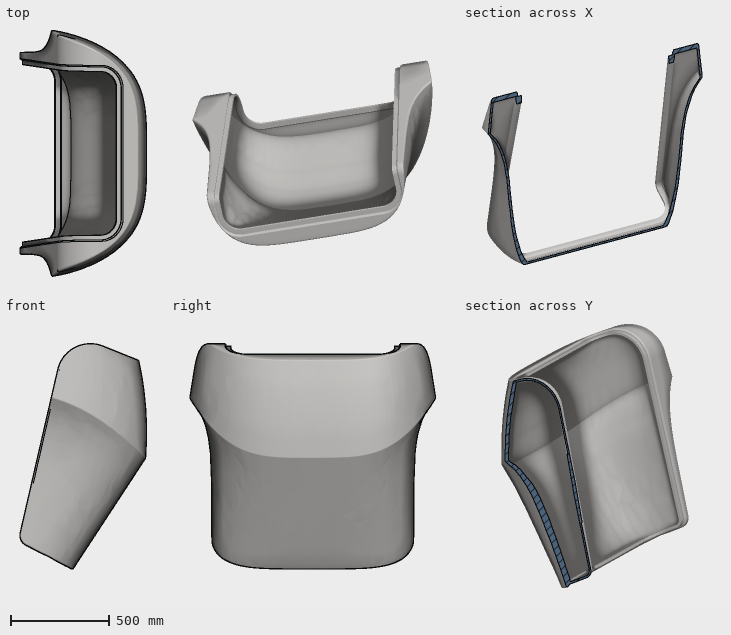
import cadquery as cq
import math

FRONT_FOOT_X = -41.0
FRONT_LEAN = 0.23
TOP_POINT = (433.0, 1129.0)
TOP_SLOPE = -0.4
BOTTOM_POINT = (32.0, 121.0)
BOTTOM_SLOPE = -0.52
TOP_RADIUS = 171.0
BOTTOM_RADIUS = 57.0
PROFILE_BACK_X = 749.0
PROFILE_HALF_WIDTH = 749.0

WALL = 15.0
FLANGE = 12.0
STEP = 12.0
LIP_WIDTH = 24.0
STEP_CHAMFER = 7.0
RIM_ROUND = 9.0

CREASE_POWERS = (3.7, 1.5)
SLIM_POWERS = (5.0, 2.2)
BOTTOM_POWERS = (4.6, 2.3)
ROWS = 10
COLUMNS = 36

CREASE_START = (162.0, 871.0)
CREASE_SLOPE = -0.28
CREASE_BEND = -0.0007614
CREASE_BACK_X = 639.0
CREASE_HALF_WIDTH = 629.0

UPPER_BULGE = 41.0
UPPER_RETURN = 82.0
UPPER_NARROWING = 0.09

LOWER_HALF_WIDTH = 514.0
BOTTOM_BACK_X = 256.0
FLARE_POWER = 6

OVERHANG = 37.0
END_MARGIN = 25.0

OPENING_TOP = (495.0, 1103.0)
OPENING_BOTTOM = (175.0, 52.0)
OPENING_HALF_WIDTH_TOP = 415.0
OPENING_HALF_WIDTH_BOTTOM = 453.0
OPENING_RADIUS = 87.0
OPENING_DEPTH = 749.0
OPENING_EXTENSION = 150.0

ON_SURFACE = 0.1


def mix(start, end, share):
    return start + (end - start) * share


def front_x(z):
    return FRONT_FOOT_X + FRONT_LEAN * z


def top_z(x):
    return TOP_POINT[1] + TOP_SLOPE * (x - TOP_POINT[0])


def bottom_z(x):
    return BOTTOM_POINT[1] + BOTTOM_SLOPE * (x - BOTTOM_POINT[0])


def crease_z(x):
    run = x - CREASE_START[0]
    return CREASE_START[1] + CREASE_SLOPE * run + CREASE_BEND * run**2


def front_corner(point, slope, lift=0.0, overhang=0.0):
    """Where a lifted end line meets the front line, itself moved forward by the overhang."""
    height_at_origin = point[1] - slope * point[0] + lift
    foot_x = FRONT_FOOT_X - overhang
    z = (height_at_origin + slope * foot_x) / (1 - slope * FRONT_LEAN)
    return front_x(z) - overhang, z


def profile(inset=0.0):
    """Side profile extruded across the whole width, with its outline moved inwards."""
    bottom_corner = front_corner(BOTTOM_POINT, BOTTOM_SLOPE)
    top_corner = front_corner(TOP_POINT, TOP_SLOPE)
    body = (
        cq.Workplane("XZ")
        .moveTo(*bottom_corner)
        .lineTo(*top_corner)
        .lineTo(PROFILE_BACK_X, top_z(PROFILE_BACK_X))
        .lineTo(PROFILE_BACK_X, bottom_z(PROFILE_BACK_X))
        .close()
        .extrude(PROFILE_HALF_WIDTH, both=True)
    )
    for (x, z), radius in ((top_corner, TOP_RADIUS), (bottom_corner, BOTTOM_RADIUS)):
        body = body.edges(cq.selectors.NearestToPointSelector((x, 0, z))).fillet(radius)
    if inset == 0:
        return body
    outline = body.faces("<Y").wires().val().offset2D(-inset)[0]
    across = cq.Vector(0, 2 * PROFILE_HALF_WIDTH, 0)
    return cq.Workplane(cq.Solid.extrudeLinear(outline, [], across))


def plan_point(start_x, back_x, half_width, powers, turn):
    """X and Y on a plan curve; turn runs from -1 to 1 across the width."""
    n, m = powers
    share = math.sin(turn * math.pi / 2)
    depth = max(0.0, 1 - abs(share)**n)**(1 / m)
    return mix(start_x, back_x, depth), half_width * share


def skin_body(inset=0.0):
    """Solid enclosed by the upper and lower skin, the inset moving sides and back inwards."""
    wide = CREASE_HALF_WIDTH - inset
    slim = LOWER_HALF_WIDTH - inset
    crease_back = CREASE_BACK_X - inset
    bottom_back = BOTTOM_BACK_X - inset
    top_back = crease_back + UPPER_BULGE - UPPER_RETURN
    crease_front, _ = front_corner(CREASE_START, CREASE_SLOPE, overhang=OVERHANG)
    top_front, _ = front_corner(TOP_POINT, TOP_SLOPE, END_MARGIN, OVERHANG)
    bottom_front, _ = front_corner(BOTTOM_POINT, BOTTOM_SLOPE, -END_MARGIN, OVERHANG)

    def crease_height(turn):
        x, _ = plan_point(crease_front, CREASE_BACK_X, wide, CREASE_POWERS, turn)
        return crease_z(x)

    def upper(turn, rise):
        """Point on the upper skin; rise runs from 0 at the crease to 1 at the top."""
        front = mix(crease_front, top_front, rise)
        back = crease_back + UPPER_BULGE * rise - UPPER_RETURN * rise**2
        half_width = wide * (1 - UPPER_NARROWING * rise)
        x, y = plan_point(front, back, half_width, CREASE_POWERS, turn)
        x_top, _ = plan_point(top_front, top_back, wide, CREASE_POWERS, turn)
        return cq.Vector(x, y, mix(crease_height(turn), top_z(x_top) + END_MARGIN, rise))

    def lower(turn, drop):
        """Point on the lower skin; drop runs from 0 at the crease to 1 at the bottom."""
        x_crease, y_crease = plan_point(crease_front, crease_back, wide, CREASE_POWERS, turn)
        x_slim, y_slim = plan_point(crease_front, crease_back, slim, SLIM_POWERS, turn)
        x_bottom, y_bottom = plan_point(bottom_front, bottom_back, slim, BOTTOM_POWERS, turn)
        flare = (1 - drop)**FLARE_POWER
        x = mix(x_slim, x_bottom, drop) + (x_crease - x_slim) * flare
        y = mix(y_slim, y_bottom, drop) + (y_crease - y_slim) * flare
        return cq.Vector(x, y, mix(crease_height(turn), bottom_z(x_bottom) - END_MARGIN, drop))

    def section(surface_point, travel):
        turns = [2 * i / COLUMNS - 1 for i in range(COLUMNS + 1)]
        curve = cq.Edge.makeSpline([surface_point(turn, travel) for turn in turns])
        chord = cq.Edge.makeLine(curve.endPoint(), curve.startPoint())
        return cq.Wire.assembleEdges([curve, chord])

    faces = []
    for surface_point in (upper, lower):
        sections = [section(surface_point, i / ROWS) for i in range(ROWS + 1)]
        faces += cq.Solid.makeLoft(sections).Faces()
        faces.append(cq.Face.makeFromWires(sections[-1]))
    return cq.Workplane(cq.Solid.makeSolid(cq.Shell.makeShell(faces)))


def opening(grow=0.0):
    """Body of the opening, widened evenly at the sides and back by the grow distance."""
    bottom = cq.Vector(OPENING_BOTTOM[0], 0, OPENING_BOTTOM[1])
    axis = cq.Vector(OPENING_TOP[0], 0, OPENING_TOP[1]) - bottom
    along = axis.normalized()
    backward = cq.Vector(along.z, 0, -along.x)
    extension = OPENING_EXTENSION / axis.Length

    def section(share):
        half_width = mix(OPENING_HALF_WIDTH_BOTTOM, OPENING_HALF_WIDTH_TOP, share) + grow
        plane = cq.Plane(bottom + axis * share + backward * grow, backward, along)
        slot = cq.Workplane(plane).center(-OPENING_DEPTH / 2, 0).rect(OPENING_DEPTH, 2 * half_width)
        return slot.wires().val().fillet2D(OPENING_RADIUS + grow, slot.vertices().vals())

    return cq.Workplane(cq.Solid.makeLoft([section(-extension), section(1 + extension)], True))


def chamfer_between(body, first, second, size):
    """Chamfer the edges of the body that lie on the surfaces of both other bodies."""
    surfaces = [first.shells().val(), second.shells().val()]

    def lies_on_both(edge):
        marks = [cq.Vertex.makeVertex(*edge.positionAt(share).toTuple()) for share in (0.3, 0.8)]
        return all(mark.distance(surface) < ON_SURFACE for mark in marks for surface in surfaces)

    return body.newObject([edge for edge in body.edges().vals() if lies_on_both(edge)]).chamfer(size)


outer = profile().intersect(skin_body()).edges("%BSPLINE").fillet(RIM_ROUND)

fold_outline = opening(LIP_WIDTH + FLANGE)
fold_depth = profile(STEP + FLANGE)
cavity = skin_body(WALL).intersect(profile(FLANGE)).cut(fold_outline.cut(fold_depth))
result = outer.cut(cavity)

lip_outline = opening(LIP_WIDTH)
result = result.cut(lip_outline.cut(profile(STEP)))
result = result.cut(opening())
result = chamfer_between(result, lip_outline, profile(), STEP_CHAMFER)
result = chamfer_between(result, fold_outline, fold_depth, STEP_CHAMFER)